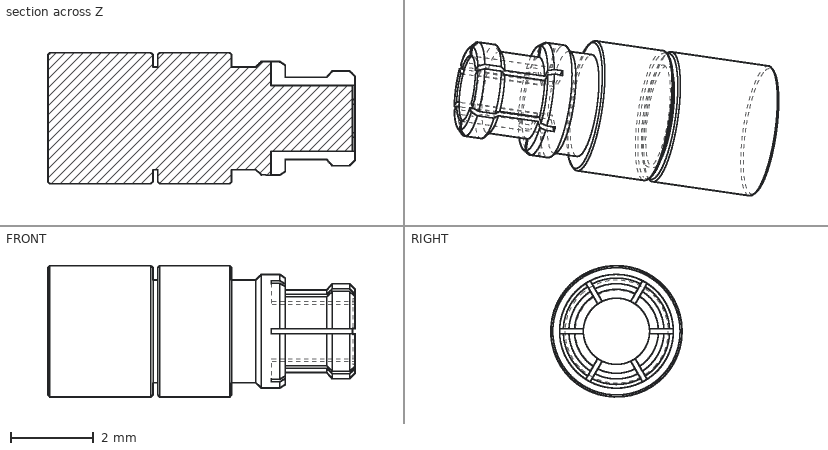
import cadquery as cq

total_length = 7.42
rear_body_end = 2.54
front_body_start = 2.65
front_body_end = 4.44
collar_start = 5.02
collar_end = 5.735
head_start = 6.735
slot_start = 5.39

body_diameter = 3.175
neck_diameter = 2.49
collar_diameter = 2.75
collar_face_diameter = 2.57
sleeve_diameter = 2.0
head_diameter = 2.30
core_diameter = 1.6

body_chamfer = 0.05
bevel_length = 0.135

slot_count = 6
slot_width = 0.125
core_setback = 0.06


def cylinder(diameter, start, end):
    """Solid cylinder on the X axis between two positions."""
    return cq.Workplane("YZ").workplane(offset=start).circle(diameter / 2).extrude(end - start)


def body_section(start, end):
    """Full-diameter body cylinder with both rims chamfered."""
    return cylinder(body_diameter, start, end).edges("%CIRCLE").chamfer(body_chamfer)


def beveled_ring(start, end, root_diameter, ring_diameter, face_diameter):
    """Raised ring with a rear bevel from the root and a front bevel to the end face."""
    outline = [
        (start, 0),
        (start, root_diameter / 2),
        (start + bevel_length, ring_diameter / 2),
        (end - bevel_length, ring_diameter / 2),
        (end, face_diameter / 2),
        (end, 0),
    ]
    return cq.Workplane("XY").polyline(outline).close().revolve(360, (0, 0, 0), (1, 0, 0))


def slot_cutter():
    """Radial slots around the sleeve, running from the collar to the tip and down to the core."""
    slot_length = total_length - slot_start
    blade = cq.Workplane("XY").box(
        slot_length, body_diameter / 2, slot_width, centered=(False, False, True)
    ).translate((slot_start, 0, 0))
    cutter = blade
    for index in range(1, slot_count):
        angle = index * 360 / slot_count
        cutter = cutter.union(blade.rotate((0, 0, 0), (1, 0, 0), angle))
    return cutter.cut(cylinder(core_diameter, slot_start, total_length))


def tip_recess():
    """Shallow recess that sets the core back from the finger tips."""
    return cylinder(core_diameter, total_length - core_setback, total_length)


head_face_diameter = head_diameter - 2 * bevel_length

result = body_section(0, rear_body_end)
result = result.union(cylinder(neck_diameter, rear_body_end, front_body_start))
result = result.union(body_section(front_body_start, front_body_end))
result = result.union(cylinder(neck_diameter, front_body_end, collar_start))
result = result.union(
    beveled_ring(collar_start, collar_end, neck_diameter, collar_diameter, collar_face_diameter)
)
result = result.union(cylinder(sleeve_diameter, collar_end, head_start))
result = result.union(
    beveled_ring(head_start, total_length, sleeve_diameter, head_diameter, head_face_diameter)
)
result = result.cut(slot_cutter())
result = result.cut(tip_recess())